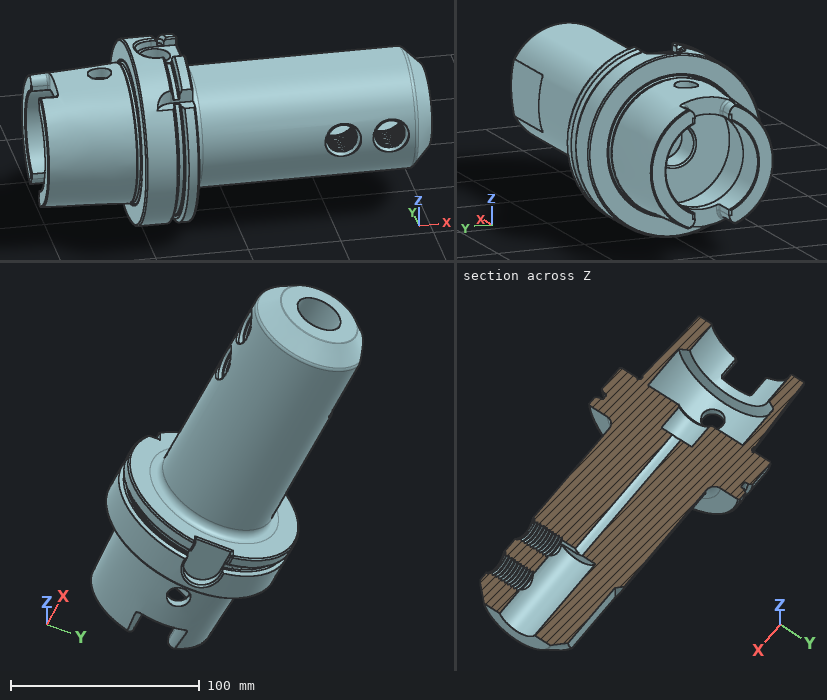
import cadquery as cq
import math


length = 210.0
flange_x = 50.0
shank_tip_r = 35.3
shank_big_r = 37.5
shank_tip_chamfer = 0.6
undercut_x = 47.5
undercut_depth = 0.6
undercut_corner = 1.0
face_recess_r = 39.0
face_recess_depth = 0.6
recess_x = flange_x + face_recess_depth

flange_r = 50.0
flange_end_x = 79.0
flange_chamfer = 0.8
groove_x = 70.0
groove_top_width = 6.3
groove_floor_width = 3.5
groove_flank_r = 47.9
groove_r = 45.8
groove_fillet = 0.6

body_r = 32.5
root_fillet = 5.0
nose_chamfer = 10.0
nose_fillet = 2.5
end_fillet = 0.6
flat_y = 28.5
flat_x = 161.3

socket_r = 26.5
socket_lip_x = 20.2
socket_wide_r = 31.5
socket_lip_angle = 60.0
socket_depth = 50.5
socket_chamfer = 0.6
coolant_seat_r = 11.3
coolant_seat_depth = 16.8
coolant_seat_chamfer = 1.0
coolant_r = 6.0
bore_r = 12.5
bore_x = 155.6

screw_xs = (160.0, 185.8)
thread_minor_r = 8.0
thread_major_r = 9.0
thread_mouth_r = 9.7
thread_pitch = 2.0

drive_half_width = 9.9
drive_flare_r = 5.0
drive_flare_z = 27.5
drive_depth_top = 9.9
drive_depth_bottom = 14.5
drive_floor_fillet = 1.3
drive_lead_width = 1.3
drive_lead_depth = 0.6
access_hole_x = 34.9
access_hole_r = 6.3

keyway_x = 64.7
keyway_half_width = 10.3
keyway_floor = 44.0
keyway_chamfer = 1.0
chip_hole_r = 8.2
chip_hole_depth = 5.5
notch_offset = 31.5
notch_x = 67.0
notch_cutter_r = 8.8

reach = 2 * flange_r
overrun = 2.0


def turn(points):
    """Revolve a closed (x, radius) outline about the X axis."""
    outline = cq.Workplane("XY").polyline(points).close()
    return outline.revolve(360, (0, 0, 0), (1, 0, 0))


def edge_ring(solid, x, radius):
    """Circular edges of a turned solid at the given X and radius."""
    tol = 0.02
    box = cq.selectors.BoxSelector(
        (x - tol, -radius - tol, -radius - tol), (x + tol, radius + tol, radius + tol), boundingbox=True
    )
    return solid.edges("%CIRCLE").edges(box)


def make_shank():
    relief_r = shank_big_r - undercut_depth
    return turn([
        (0, 0),
        (0, shank_tip_r - shank_tip_chamfer),
        (shank_tip_chamfer, shank_tip_r),
        (undercut_x, shank_big_r),
        (undercut_x + undercut_depth, relief_r),
        (recess_x - undercut_corner, relief_r),
        (recess_x, relief_r + undercut_corner),
        (recess_x, 0),
    ])


def keyway_cutter():
    slot = cq.Workplane("XY", origin=(0, 0, keyway_floor)).center(keyway_x, 0)
    rounded_end = slot.circle(keyway_half_width).extrude(reach)
    straight = slot.rect(reach, 2 * keyway_half_width).extrude(reach)
    straight = straight.translate((reach / 2, 0, 0))
    return rounded_end.union(straight)


def make_flange():
    flange = turn([
        (recess_x, 0),
        (recess_x, face_recess_r - face_recess_depth),
        (flange_x, face_recess_r),
        (flange_x, flange_r - flange_chamfer),
        (flange_x + flange_chamfer, flange_r),
        (flange_end_x, flange_r),
        (flange_end_x, 0),
    ])
    cutter = keyway_cutter()
    for angle in (0, 180):
        flange = flange.cut(cutter.rotate((0, 0, 0), (1, 0, 0), angle))
    mouth_half_width = keyway_half_width + keyway_chamfer
    mouth_z = (keyway_floor + flange_r) / 2
    for side in (1, -1):
        mouth = cq.selectors.BoxSelector(
            (flange_x + flange_chamfer, -mouth_half_width, side * mouth_z),
            (flange_end_x, mouth_half_width, side * reach),
        )
        flange = flange.edges(mouth).edges("not |Z").chamfer(keyway_chamfer)
    flange = flange.faces(">X").edges().chamfer(flange_chamfer)
    return flange


def make_groove():
    half_top = groove_top_width / 2
    half_floor = groove_floor_width / 2
    slope = (half_top - half_floor) / (flange_r - groove_flank_r)
    outer_r = flange_r + overrun
    half_outer = half_top + slope * overrun
    groove = turn([
        (groove_x - half_outer, outer_r),
        (groove_x - half_floor, groove_flank_r),
        (groove_x - half_floor, groove_r),
        (groove_x + half_floor, groove_r),
        (groove_x + half_floor, groove_flank_r),
        (groove_x + half_outer, outer_r),
    ])
    for side in (-1, 1):
        groove = edge_ring(groove, groove_x + side * half_floor, groove_r).fillet(groove_fillet)
    return groove


def make_body():
    nose_x = length - nose_chamfer
    nose_r = body_r - nose_chamfer
    body = (
        cq.Workplane("XY")
        .moveTo(recess_x, 0)
        .lineTo(recess_x, body_r + root_fillet)
        .lineTo(flange_end_x, body_r + root_fillet)
        .radiusArc((flange_end_x + root_fillet, body_r), -root_fillet)
        .lineTo(nose_x, body_r)
        .lineTo(length, nose_r)
        .lineTo(length, 0)
        .close()
        .revolve(360, (0, 0, 0), (1, 0, 0))
    )
    body = edge_ring(body, nose_x, body_r).fillet(nose_fillet)
    body = edge_ring(body, length, nose_r).fillet(end_fillet)
    ramp = body_r - flat_y
    flat = (
        cq.Workplane("XY")
        .polyline([
            (flat_x, flat_y),
            (length, flat_y),
            (length, body_r + ramp),
            (flat_x - 2 * ramp, body_r + ramp),
        ])
        .close()
        .extrude(body_r, both=True)
    )
    return body.cut(flat)


def make_axial_cavity():
    lip_run = (socket_wide_r - socket_r) / math.tan(math.radians(socket_lip_angle))
    seat_end = socket_depth + coolant_seat_depth
    return turn([
        (0, 0),
        (0, socket_r + socket_chamfer),
        (socket_chamfer, socket_r),
        (socket_lip_x, socket_r),
        (socket_lip_x + lip_run, socket_wide_r),
        (socket_depth, socket_wide_r),
        (socket_depth, coolant_seat_r + coolant_seat_chamfer),
        (socket_depth + coolant_seat_chamfer, coolant_seat_r),
        (seat_end, coolant_seat_r),
        (seat_end, coolant_r),
        (bore_x, coolant_r),
        (bore_x, bore_r),
        (length, bore_r),
        (length, 0),
    ])


def make_screw_hole(x):
    """Threaded hole from the -Y side to the axis, threads as plain rings."""
    mouth_depth = thread_mouth_r - thread_minor_r
    sag_y = math.sqrt(body_r**2 - thread_mouth_r**2)
    rings = int((sag_y - mouth_depth - bore_r) / thread_pitch) + 1
    points = [(0, 0), (thread_minor_r, 0)]
    start = sag_y - mouth_depth - rings * thread_pitch
    for i in range(rings):
        root = start + i * thread_pitch
        points.append((thread_minor_r, root))
        points.append((thread_major_r, root + thread_pitch / 2))
    points += [
        (thread_minor_r, sag_y - mouth_depth),
        (thread_mouth_r, sag_y),
        (thread_mouth_r, body_r + overrun),
        (0, body_r + overrun),
    ]
    hole = cq.Workplane("XY").polyline(points).close().revolve(360, (0, 0, 0), (0, 1, 0))
    return hole.rotate((0, 0, 0), (0, 0, 1), 180).translate((x, 0, 0))


def make_drive_slot(depth):
    """Slot open at X = 0 on the +Z side, with walls rounded outwards."""
    wall = drive_half_width
    wide = wall + drive_flare_r
    top = drive_flare_z + drive_flare_r
    mid = drive_flare_r * math.sqrt(0.5)
    slot = (
        cq.Workplane("YZ")
        .moveTo(-wall, 0)
        .lineTo(-wall, drive_flare_z)
        .threePointArc((-wide + mid, drive_flare_z + mid), (-wide, top))
        .lineTo(-wide, flange_r)
        .lineTo(wide, flange_r)
        .lineTo(wide, top)
        .threePointArc((wide - mid, drive_flare_z + mid), (wall, drive_flare_z))
        .lineTo(wall, 0)
        .close()
        .extrude(depth)
    )
    slot = slot.faces(">X").edges().fillet(drive_floor_fillet)
    lead_in = (
        cq.Workplane("XY")
        .polyline([
            (0, -wall - drive_lead_width),
            (0, wall + drive_lead_width),
            (drive_lead_depth, wall),
            (drive_lead_depth, -wall),
        ])
        .close()
        .extrude(drive_flare_z)
    )
    return slot.union(lead_in)


def make_notch():
    """Corner notch in the flange at -Y +Z, milled along Z with a rounded end."""
    cutter_y = -notch_offset - notch_cutter_r
    base = cq.Workplane("XY", origin=(notch_x, cutter_y, notch_offset))
    rounded_end = base.circle(notch_cutter_r).extrude(flange_r)
    run = flange_end_x - notch_x
    straight = base.center(run / 2, 0).rect(run, 2 * notch_cutter_r).extrude(flange_r)
    return rounded_end.union(straight)


def make_access_hole():
    """Radial hole through both shank walls."""
    hole = cq.Workplane("XY").center(access_hole_x, 0).circle(access_hole_r)
    return hole.extrude(reach, both=True)


def make_chip_hole():
    """Blind round pocket in the floor of the +Z keyway."""
    base = cq.Workplane("XY", origin=(keyway_x, 0, keyway_floor - chip_hole_depth))
    return base.circle(chip_hole_r).extrude(reach)


flange = make_flange().cut(make_groove()).cut(make_notch())
result = flange.union(make_shank()).union(make_body())
result = result.cut(make_axial_cavity())
for screw_x in screw_xs:
    result = result.cut(make_screw_hole(screw_x))
bottom_slot = make_drive_slot(drive_depth_bottom).rotate((0, 0, 0), (1, 0, 0), 180)
result = result.cut(make_drive_slot(drive_depth_top)).cut(bottom_slot)
result = result.cut(make_access_hole()).cut(make_chip_hole())